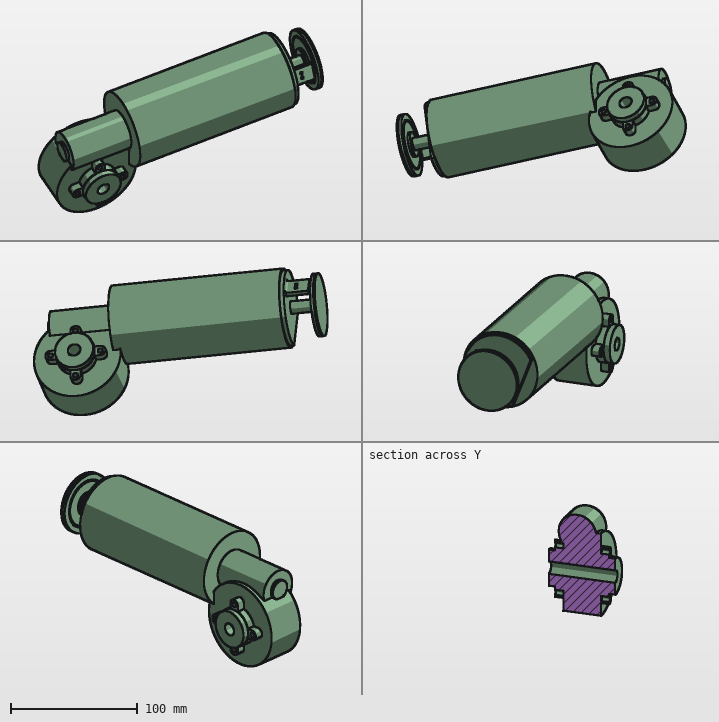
import cadquery as cq

OVERALL_LENGTH = 229.0

MOTOR_DIAMETER = 63.0
MOTOR_LENGTH = 137.6
PLATE_DIAMETER = 60.0
PLATE_THICKNESS = 3.5
PLATE_FLAT_DISTANCE = 20.5
PLATE_TILT = 21.0

TAB_INNER_DISTANCE = 17.9
TAB_THICKNESS = 3.7
TAB_WIDTH = 14.2
TAB_LENGTH = 18.0
TAB_FILLET = 1.8
TAB_HOLE_DIAMETER = 2.0
TAB_HOLE_SPACING = 4.1
TAB_HOLE_HEIGHT = 8.0

WHEEL_DIAMETER = 69.8
WHEEL_WIDTH = 32.0
WHEEL_X = -4.0
WHEEL_Z = -32.0
HUB_DIAMETER = 31.0
HUB_SPAN = 56.0
BOSS_DIAMETER = 31.5
BORE_DIAMETER = 10.0
LUG_SPAN = 45.8
LUG_WIDTH = 8.2
LUG_CIRCLE_DIAMETER = 40.0
LUG_HOLE_DIAMETER = 4.0
LUG_HOLE_DEPTH = (LUG_SPAN - WHEEL_WIDTH) / 2
LUG_COUNT = 4

TUBE_DIAMETER = 32.0
TUBE_LENGTH = 51.0
PLUG_DIAMETER = 16.0
PLUG_LENGTH = 2.3

SHAFT_DIAMETER = 10.0
DISC_HUB_DIAMETER = 20.0
DISC_HUB_LENGTH = 2.0
DISC_DIAMETER = 50.0
SEAT_DIAMETER = 38.0
RING_INNER_DIAMETER = 40.0
RING_THICKNESS = 2.5
DISC_RIM_THICKNESS = 1.4

PLATE_FACE_Y = MOTOR_LENGTH + PLATE_THICKNESS
DISC_HUB_Y = PLATE_FACE_Y + TAB_LENGTH
RING_Y = DISC_HUB_Y + DISC_HUB_LENGTH
DISC_RIM_Y = RING_Y + RING_THICKNESS
DISC_END_Y = DISC_RIM_Y + DISC_RIM_THICKNESS

WHEEL_Y = DISC_END_Y - OVERALL_LENGTH + WHEEL_DIAMETER / 2
WHEEL_CENTER = (WHEEL_X, WHEEL_Y, WHEEL_Z)
WHEEL_AXIS_END = (WHEEL_X + 2.3, WHEEL_Y, WHEEL_Z)


def y_cylinder(diameter, start_y, length):
    """Cylinder on the motor axis, from start_y toward +Y."""
    return cq.Workplane("XZ", origin=(0, start_y, 0)).circle(diameter / 2).extrude(-length)


def wheel_cylinder(diameter, span):
    """Cylinder on the wheel axis, centred on the wheel's mid-plane."""
    return cq.Workplane("YZ", origin=WHEEL_CENTER).circle(diameter / 2).extrude(span / 2, both=True)


def make_lugs():
    """Boss on both wheel faces with screw lugs spaced evenly around it."""
    reach = LUG_CIRCLE_DIAMETER / 2
    wheel_plane = cq.Workplane("YZ", origin=WHEEL_CENTER)
    arm = wheel_plane.center(reach / 2, 0).rect(reach, LUG_WIDTH).extrude(LUG_SPAN / 2, both=True)
    tip = wheel_plane.center(reach, 0).circle(LUG_WIDTH / 2).extrude(LUG_SPAN / 2, both=True)
    lug = arm.union(tip)
    lugs = wheel_cylinder(BOSS_DIAMETER, LUG_SPAN)
    for index in range(LUG_COUNT):
        lugs = lugs.union(lug.rotate(WHEEL_CENTER, WHEEL_AXIS_END, index * 360 / LUG_COUNT))
    return lugs


def cut_lug_holes(housing):
    """Blind screw holes in every lug, down to the wheel faces."""
    for side in (-1, 1):
        drills = (
            cq.Workplane("YZ", origin=(WHEEL_X + side * LUG_SPAN / 2, WHEEL_Y, WHEEL_Z))
            .polarArray(LUG_CIRCLE_DIAMETER / 2, 0, 360, LUG_COUNT)
            .circle(LUG_HOLE_DIAMETER / 2)
            .extrude(-side * LUG_HOLE_DEPTH)
        )
        housing = housing.cut(drills)
    return housing


def make_gearbox():
    """Wheel, hubs, lugs, worm tube and plug in one housing, with the output bore through it."""
    tube = y_cylinder(TUBE_DIAMETER, -TUBE_LENGTH, TUBE_LENGTH)
    plug = y_cylinder(PLUG_DIAMETER, -TUBE_LENGTH - PLUG_LENGTH, PLUG_LENGTH)
    housing = wheel_cylinder(WHEEL_DIAMETER, WHEEL_WIDTH).union(tube).union(plug)
    housing = housing.union(make_lugs()).union(wheel_cylinder(HUB_DIAMETER, HUB_SPAN))
    return cut_lug_holes(housing).cut(wheel_cylinder(BORE_DIAMETER, HUB_SPAN))


def make_tab():
    """Terminal tab before tilting: a slab facing X, with two holes and a filleted outer foot."""
    outer_distance = TAB_INNER_DISTANCE + TAB_THICKNESS
    tab = (
        cq.Workplane("XY", origin=(0, 0, -TAB_WIDTH / 2))
        .moveTo(TAB_INNER_DISTANCE, PLATE_FACE_Y)
        .lineTo(outer_distance + TAB_FILLET, PLATE_FACE_Y)
        .radiusArc((outer_distance, PLATE_FACE_Y + TAB_FILLET), TAB_FILLET)
        .lineTo(outer_distance, PLATE_FACE_Y + TAB_LENGTH)
        .lineTo(TAB_INNER_DISTANCE, PLATE_FACE_Y + TAB_LENGTH)
        .close()
        .extrude(TAB_WIDTH)
    )
    holes = (
        cq.Workplane("YZ", origin=(TAB_INNER_DISTANCE, PLATE_FACE_Y + TAB_HOLE_HEIGHT, 0))
        .rarray(2.3, TAB_HOLE_SPACING, 1, 2)
        .circle(TAB_HOLE_DIAMETER / 2)
        .extrude(TAB_THICKNESS)
    )
    return tab.cut(holes)


def make_rear_plate():
    """Round plate with one flat and the terminal tab, both tilted about the motor axis."""
    plate = y_cylinder(PLATE_DIAMETER, MOTOR_LENGTH, PLATE_THICKNESS)
    beyond_flat = (
        cq.Workplane("XZ", origin=(-PLATE_FLAT_DISTANCE - PLATE_DIAMETER / 2, MOTOR_LENGTH, 0))
        .rect(PLATE_DIAMETER, PLATE_DIAMETER)
        .extrude(-PLATE_THICKNESS)
    )
    plate = plate.cut(beyond_flat).union(make_tab())
    return plate.rotate((0, 0, 0), (0, 1, 0), -PLATE_TILT)


def make_motor():
    """Motor can with its rear plate, and a recess in the front face for the wheel."""
    can = y_cylinder(MOTOR_DIAMETER, 0, MOTOR_LENGTH)
    return can.union(make_rear_plate()).cut(wheel_cylinder(WHEEL_DIAMETER, WHEEL_WIDTH))


def make_shaft_disc():
    """Rear shaft, disc hub, and a disc whose rim steps back behind the ring."""
    shaft = y_cylinder(SHAFT_DIAMETER, PLATE_FACE_Y, TAB_LENGTH)
    hub = y_cylinder(DISC_HUB_DIAMETER, DISC_HUB_Y, DISC_HUB_LENGTH)
    ring_seat = y_cylinder(SEAT_DIAMETER, RING_Y, RING_THICKNESS)
    rim = y_cylinder(DISC_DIAMETER, DISC_RIM_Y, DISC_RIM_THICKNESS)
    return shaft.union(hub).union(ring_seat).union(rim)


def make_ring():
    """Ring around the disc's seat, flush with the disc face and rim."""
    ring = y_cylinder(DISC_DIAMETER, RING_Y, RING_THICKNESS)
    return ring.cut(y_cylinder(RING_INNER_DIAMETER, RING_Y, RING_THICKNESS))


gearbox = make_gearbox()
motor = make_motor()
shaft_disc = make_shaft_disc()
ring = make_ring()

bodies = [gearbox, motor, shaft_disc, ring]
result = cq.Compound.makeCompound([body.solids().val() for body in bodies])